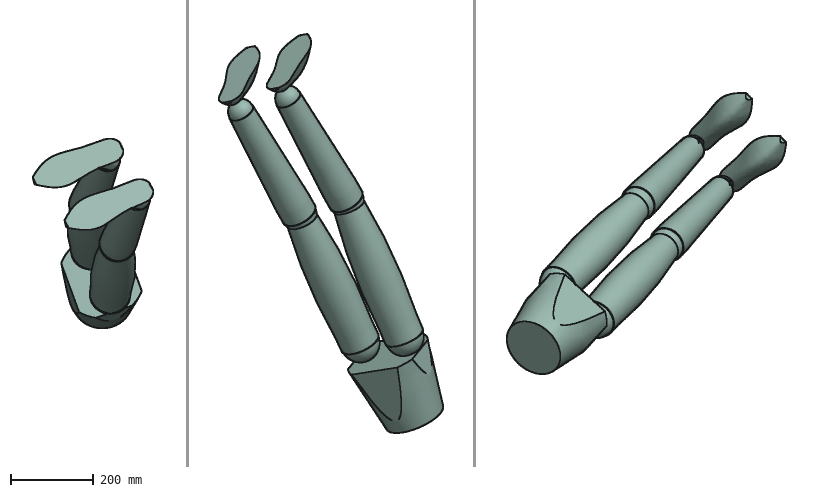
import cadquery as cq

LEGS = [
    {
        "hip": cq.Vector(-188.0, 108.0, -215.0),
        "knee": cq.Vector(-25.0, 1.0, 115.0),
        "ankle": cq.Vector(125.0, -30.0, 404.0),
        "heel": cq.Vector(153.0, -6.0, 456.5),
        "toe": cq.Vector(125.0, -234.0, 426.0),
    },
    {
        "hip": cq.Vector(-77.0, 96.0, -267.0),
        "knee": cq.Vector(88.0, 21.0, 66.0),
        "ankle": cq.Vector(238.0, -11.0, 357.5),
        "heel": cq.Vector(267.0, 11.0, 407.0),
        "toe": cq.Vector(252.0, -218.0, 377.0),
    },
]

HIP_BALL_RADIUS = 95.0 / 2
KNEE_BALL_RADIUS = 85.0 / 2
ANKLE_BALL_RADIUS = 32.0

COLLAR_LENGTH = 40.0
COLLAR_STEP = 2.0
THIGH_BULGE_RADIUS = 53.0
THIGH_BULGE_POSITION = 0.35
THIGH_END_RADIUS = 39.0
THIGH_END_GAP = 17.0
SHIN_END_RADIUS = 33.0
SHIN_END_GAP = 2.0

PELVIS_ACROSS = cq.Vector(0.885, -0.137, -0.446)
PELVIS_UP = cq.Vector(0.42, -0.26, 0.87)
PELVIS_HEIGHT = 178.0
WAIST_RADIUS = 75.0
PELVIS_TOP_RADIUS = 105.0
PELVIS_WIDTH = 187.0
PELVIS_DEPTH = 161.5
PELVIS_AXIS_OFFSET = 2.0
HIP_HEIGHT = 40.0

SOLE_SIDEWAYS = cq.Vector(1.0, 0.0, -0.45)
SOLE_FLARE = 0.6
FOOT_SECTIONS = [
    (0.0, 0.0, 11.0, 6.0),
    (0.06, 0.0, 27.0, 21.0),
    (0.35, -2.0, 33.0, 41.0),
    (0.7, 0.0, 42.0, 47.0),
    (0.9, 0.0, 27.0, 28.0),
    (1.0, 0.0, 11.0, 15.0),
]


def ball(centre, radius):
    return cq.Workplane("XY").sphere(radius).translate(centre)


def turned(profile, start, end):
    """Turn a local XZ half profile about Z, then lay Z along the line from start to end."""
    axis_plane = cq.Plane(origin=start, normal=end - start)
    solid = profile.close().revolve(360, (0, 0, 0), (0, 1, 0))
    return cq.Workplane(obj=solid.val().moved(cq.Location(axis_plane)))


def make_thigh(leg):
    length = (leg["knee"] - leg["hip"]).Length
    radius = HIP_BALL_RADIUS + COLLAR_STEP
    end = length - THIGH_END_GAP
    profile = (
        cq.Workplane("XZ")
        .lineTo(radius, 0)
        .lineTo(radius, COLLAR_LENGTH)
        .spline(
            [(THIGH_BULGE_RADIUS, length * THIGH_BULGE_POSITION), (THIGH_END_RADIUS, end)],
            includeCurrent=True,
        )
        .lineTo(0, end)
    )
    thigh = turned(profile, leg["hip"], leg["knee"]).union(ball(leg["hip"], HIP_BALL_RADIUS))
    return thigh.cut(ball(leg["knee"], KNEE_BALL_RADIUS))


def make_shin(leg):
    radius = KNEE_BALL_RADIUS + COLLAR_STEP
    end = (leg["ankle"] - leg["knee"]).Length - SHIN_END_GAP
    profile = (
        cq.Workplane("XZ")
        .lineTo(radius, 0)
        .lineTo(radius, COLLAR_LENGTH)
        .lineTo(SHIN_END_RADIUS, end)
        .lineTo(0, end)
    )
    shin = turned(profile, leg["knee"], leg["ankle"]).union(ball(leg["knee"], KNEE_BALL_RADIUS))
    return shin.cut(ball(leg["ankle"], ANKLE_BALL_RADIUS))


def make_foot(leg):
    """Flat sole with rounded sections below it, joined to the ankle ball."""
    along = leg["toe"] - leg["heel"]
    wires = []
    for fraction, centre, half_width, depth in FOOT_SECTIONS:
        plane = cq.Plane(origin=leg["heel"] + along * fraction, xDir=SOLE_SIDEWAYS, normal=along)
        section = (
            cq.Workplane(plane)
            .moveTo(centre - half_width, 0)
            .spline(
                [(centre, -depth), (centre + half_width, 0)],
                tangents=[(SOLE_FLARE, -1), (1, 0), (SOLE_FLARE, 1)],
                includeCurrent=True,
            )
            .close()
        )
        wires.append(section.val())
    shoe = cq.Workplane(obj=cq.Solid.makeLoft(wires))
    return shoe.union(ball(leg["ankle"], ANKLE_BALL_RADIUS))


def make_pelvis(legs):
    """Cone flattened on four sides, with a shallow seat for each hip ball."""
    hip_middle = (legs[0]["hip"] + legs[1]["hip"]) * 0.5
    plane = cq.Plane(origin=hip_middle, xDir=PELVIS_ACROSS, normal=PELVIS_UP)
    waist = cq.Workplane(plane).workplane(offset=-HIP_HEIGHT - PELVIS_HEIGHT)
    waist = waist.center(0, PELVIS_AXIS_OFFSET)
    cone = waist.circle(WAIST_RADIUS).workplane(offset=PELVIS_HEIGHT).circle(PELVIS_TOP_RADIUS).loft()
    block = waist.rect(PELVIS_WIDTH, PELVIS_DEPTH).extrude(PELVIS_HEIGHT)
    pelvis = cone.intersect(block)
    for leg in legs:
        pelvis = pelvis.cut(ball(leg["hip"], HIP_BALL_RADIUS))
    return pelvis


pelvis = make_pelvis(LEGS)
thighs = [make_thigh(leg).val() for leg in LEGS]
shins = [make_shin(leg).val() for leg in LEGS]
feet = [make_foot(leg).val() for leg in LEGS]

result = cq.Compound.makeCompound([pelvis.val(), *thighs, *shins, *feet])